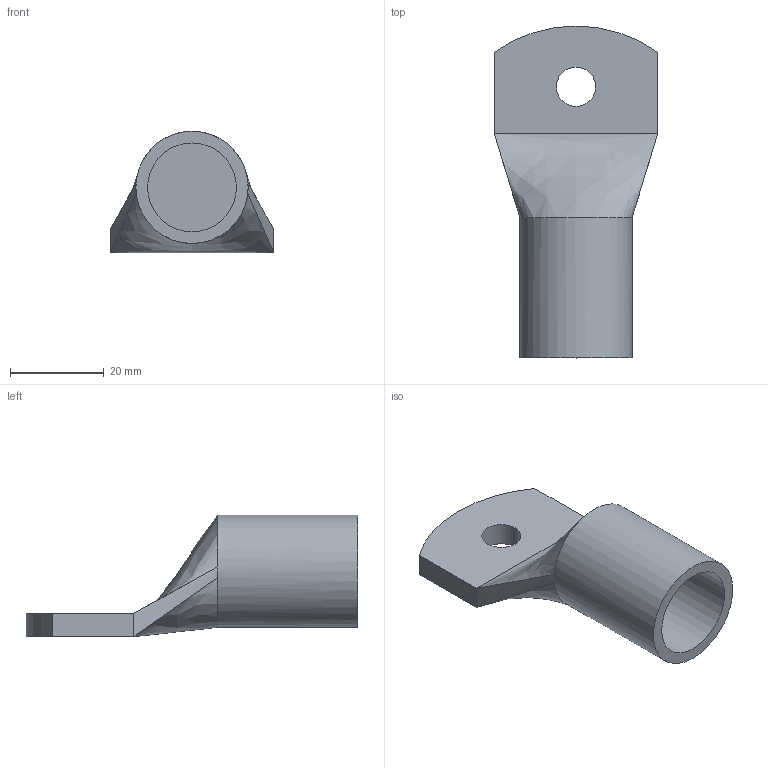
import cadquery as cq
import math

tongue_width = 35.0
tongue_thickness = 5.0
tongue_length = 23.0
tip_radius = 30.0
bolt_hole_diameter = 8.4
bolt_hole_from_tip = 13.0

barrel_diameter = 24.0
barrel_radius = barrel_diameter / 2
barrel_bore_diameter = 19.0
barrel_length = 30.0
bore_depth = barrel_length
barrel_lift = 2.0

neck_length = 18.0
neck_flank_top_z = 14.95
neck_flank_bottom_z = 12.65
neck_section_count = 5

barrel_axis_z = barrel_lift + barrel_radius
neck_start_y = barrel_length
tongue_start_y = neck_start_y + neck_length
tip_y = tongue_start_y + tongue_length


def cross_section(y):
    """Work plane across the part at Y = y, with local x along -X and local y along Z."""
    return cq.Workplane("XZ", origin=(0, y, 0)).transformed(rotate=(0, 180, 0))


def make_barrel():
    return cross_section(0).center(0, barrel_axis_z).circle(barrel_radius).extrude(barrel_length)


def between(start, end, fraction):
    """Value at a fraction of the way from start to end."""
    return start + (end - start) * fraction


def neck_section(fraction):
    """Closed outline across the neck, from the tongue (fraction 0) to the barrel (fraction 1).

    The corners and the underside run straight; the crown leaves the tongue level
    and is still climbing where it meets the barrel.
    """
    rim_top_x = math.sqrt(barrel_radius**2 - (neck_flank_top_z - barrel_axis_z) ** 2)
    rim_bottom_x = math.sqrt(barrel_radius**2 - (neck_flank_bottom_z - barrel_axis_z) ** 2)
    top_x = between(tongue_width / 2, rim_top_x, fraction)
    top_z = between(tongue_thickness, neck_flank_top_z, fraction)
    bottom_x = between(tongue_width / 2, rim_bottom_x, fraction)
    bottom_z = between(0, neck_flank_bottom_z, fraction)
    flank_x = between(tongue_width / 2, barrel_radius, fraction)
    flank_z = between(tongue_thickness / 2, barrel_axis_z, fraction)
    underside_z = between(0, barrel_lift, fraction)
    climb = 2 * fraction**2 - fraction**3
    crown_z = between(tongue_thickness, barrel_lift + barrel_diameter, climb)

    outline = cross_section(between(tongue_start_y, neck_start_y, fraction)).moveTo(-top_x, top_z)
    if fraction == 0:
        outline = outline.lineTo(top_x, top_z).lineTo(bottom_x, bottom_z).lineTo(-bottom_x, bottom_z).close()
    else:
        outline = (
            outline.threePointArc((0, crown_z), (top_x, top_z))
            .threePointArc((flank_x, flank_z), (bottom_x, bottom_z))
            .threePointArc((0, underside_z), (-bottom_x, bottom_z))
            .threePointArc((-flank_x, flank_z), (-top_x, top_z))
            .close()
        )
    return outline.wire().val()


def make_neck():
    steps = neck_section_count - 1
    sections = [neck_section(i / steps) for i in range(neck_section_count)]
    return cq.Workplane(cq.Solid.makeLoft(sections))


def make_tongue():
    half_width = tongue_width / 2
    tip_height = tip_radius - math.sqrt(tip_radius**2 - half_width**2)
    shoulder_y = tip_y - tip_height
    return (
        cq.Workplane("XY")
        .moveTo(-half_width, tongue_start_y)
        .lineTo(-half_width, shoulder_y)
        .threePointArc((0, tip_y), (half_width, shoulder_y))
        .lineTo(half_width, tongue_start_y)
        .close()
        .extrude(tongue_thickness)
    )


def make_bore():
    return cross_section(0).center(0, barrel_axis_z).circle(barrel_bore_diameter / 2).extrude(bore_depth)


def make_bolt_hole():
    return (
        cq.Workplane("XY")
        .center(0, tip_y - bolt_hole_from_tip)
        .circle(bolt_hole_diameter / 2)
        .extrude(tongue_thickness)
    )


body = make_barrel().union(make_neck()).union(make_tongue())
result = body.cut(make_bore()).cut(make_bolt_hole())